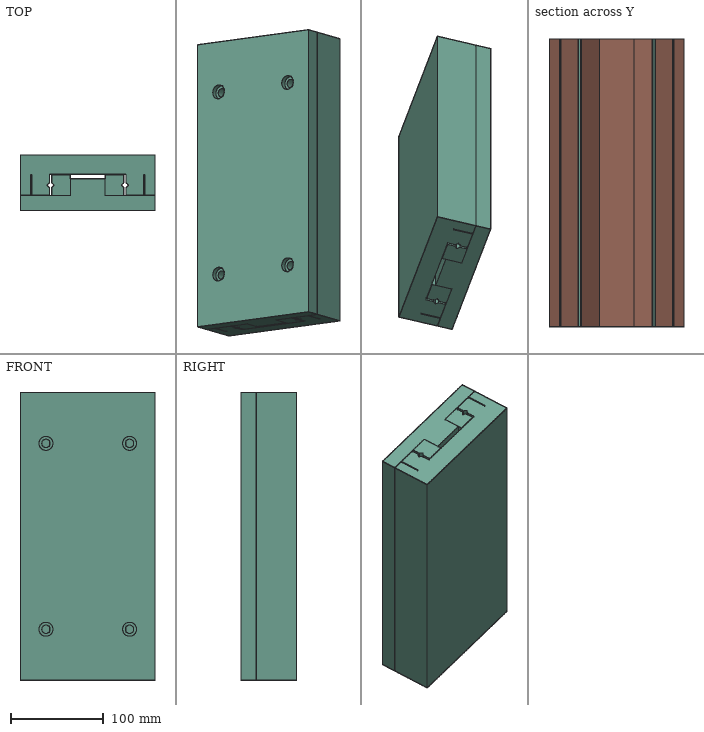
import cadquery as cq

width = 145.0
depth = 60.0
length = 310.0
end_chamfer = 0.3
front_y = -depth / 2
back_y = depth / 2

plate_thickness = 16.5
plate_back_y = front_y + plate_thickness
rib_half_width = 18.75
rib_height = 18.0

rail_width = 20.25
rail_height = 22.0
rail_outer_x = rib_half_width + rail_width
rail_back_y = plate_back_y + rail_height
track_y = plate_back_y + rail_height / 2
track_depth = 2.7
track_half_height = 2.7

face_gap = 0.3
ceiling_gap = 0.5
roller_gap = 2.0

carriage_front_y = plate_back_y + face_gap
channel_half_width = rail_outer_x + roller_gap
channel_floor_y = rail_back_y + ceiling_gap
slit_x = 60.8
slit_width = 1.0
slit_end_y = rail_back_y

hole_spacing_x = 90.0
hole_spacing_z = 200.0
hole_diameter = 9.0
counterbore_diameter = 15.0
counterbore_depth = 6.0

left_and_right = (-1, 1)


def bar(x_start, x_end, y_min, y_max):
    """Rectangular bar over the full length, centred on Z = 0."""
    return (
        cq.Workplane("XY")
        .box(abs(x_end - x_start), y_max - y_min, length, centered=(False, False, True))
        .translate((min(x_start, x_end), y_min, 0))
    )


def envelope():
    """Outer block of the closed assembly, with its two ends chamfered all round."""
    block = bar(-width / 2, width / 2, front_y, back_y)
    return block.faces("|Z").edges().chamfer(end_chamfer)


def roller_track(surface_x, direction):
    """Cutter for a V groove that enters a surface along +X (1) or -X (-1)."""
    return (
        cq.Workplane("XY", origin=(0, 0, -length / 2))
        .moveTo(surface_x, track_y - track_half_height)
        .lineTo(surface_x + direction * track_depth, track_y)
        .lineTo(surface_x, track_y + track_half_height)
        .close()
        .extrude(length)
    )


def make_bed():
    plate = envelope().intersect(bar(-width / 2, width / 2, front_y, plate_back_y))
    rib = bar(-rib_half_width, rib_half_width, plate_back_y, plate_back_y + rib_height)
    return (
        plate.union(rib)
        .faces("<Y")
        .workplane(origin=(0, front_y, 0))
        .rarray(hole_spacing_x, hole_spacing_z, 2, 2)
        .cboreHole(hole_diameter, counterbore_diameter, counterbore_depth, depth=plate_thickness)
    )


def make_carriage():
    block = envelope().intersect(bar(-width / 2, width / 2, carriage_front_y, back_y))
    channel = bar(-channel_half_width, channel_half_width, carriage_front_y, channel_floor_y)
    body = block.cut(channel)
    for side in left_and_right:
        slit_inner_x = side * (slit_x - slit_width / 2)
        slit_outer_x = side * (slit_x + slit_width / 2)
        slit = bar(slit_inner_x, slit_outer_x, carriage_front_y, slit_end_y)
        track = roller_track(side * channel_half_width, side)
        body = body.cut(slit).cut(track)
    return body


def make_rail(side):
    """Rail beside the rib, with its roller track facing outwards."""
    rail = bar(side * rib_half_width, side * rail_outer_x, plate_back_y, rail_back_y)
    return rail.cut(roller_track(side * rail_outer_x, -side))


bed = make_bed()
carriage = make_carriage()
rails = [make_rail(side) for side in left_and_right]

result = cq.Compound.makeCompound([bed.val(), carriage.val(), *[rail.val() for rail in rails]])